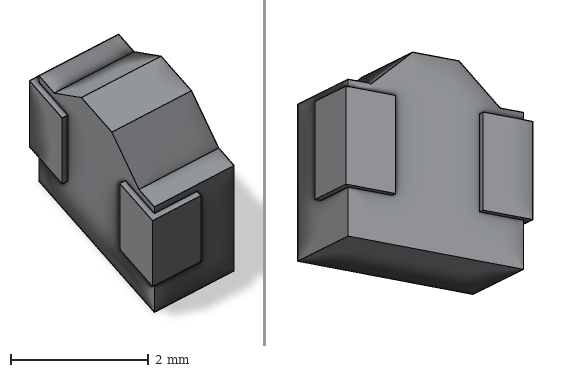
import cadquery as cq

overall_width = 3.2
body_width = 3.0
body_height = 3.0
body_depth = 1.4
shoulder_height = 2.4
hump_base_width = 2.2
hump_top_width = 0.79
pad_reach = 0.85
pad_height = 1.5

pad_thickness = (overall_width - body_width) / 2
pad_bottom = (body_height - pad_height) / 2


def make_body():
    """Block with a tapered hump on top, front face at Y = 0."""
    right_outline = [
        (body_width / 2, 0),
        (body_width / 2, shoulder_height),
        (hump_base_width / 2, shoulder_height),
        (hump_top_width / 2, body_height),
    ]
    left_outline = [(-x, z) for x, z in reversed(right_outline)]
    return (
        cq.Workplane("XZ")
        .polyline(right_outline + left_outline)
        .close()
        .extrude(-body_depth)
    )


def make_pad(side):
    """Terminal wrapping a front vertical edge; side is -1 (left) or 1 (right)."""
    center_x = side * (overall_width - pad_reach) / 2
    return (
        cq.Workplane("XY")
        .box(pad_reach, pad_reach, pad_height, centered=(True, False, False))
        .translate((center_x, -pad_thickness, pad_bottom))
    )


result = make_body()
for side in (-1, 1):
    result = result.union(make_pad(side))